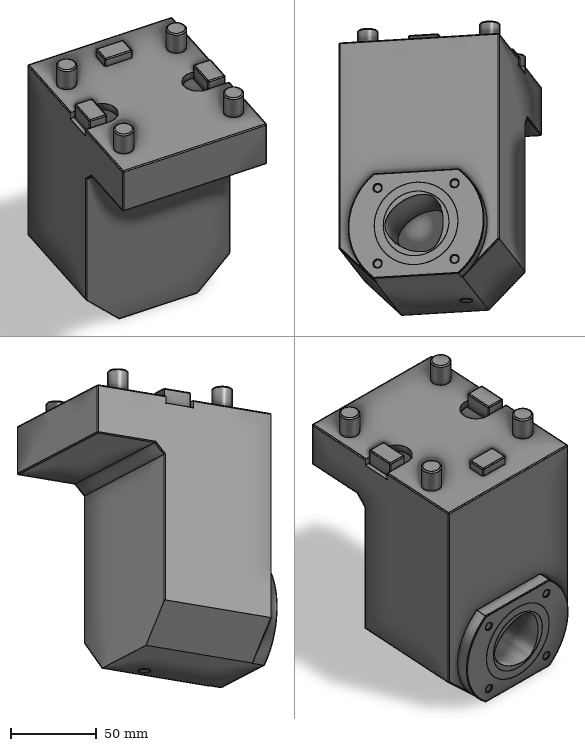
import cadquery as cq
import math

BODY_LENGTH = 117.0
BODY_WIDTH = 96.0
BODY_HEIGHT = 147.0
COLUMN_LENGTH = 72.0
OVERHANG_HEIGHT = 29.5
OVERHANG_BEVEL = 6.3
BOTTOM_BEVEL = 22.0
BODY_CHAMFER = 0.6

FLANGE_DIAMETER = 81.5
FLANGE_HEIGHT = 63.7
SPINDLE_REACH = 8.0
RING_HEIGHT = 0.08
FLANGE_THICKNESS = SPINDLE_REACH - RING_HEIGHT
FLANGE_CHAMFER = 0.5
SPINDLE_Z = FLANGE_HEIGHT / 2
RING_DIAMETER = 50.0
RING_BORE = 39.3

SOCKET_RADIUS = 17.5
SOCKET_LOBE = 1.21
SOCKET_SHRINK = 0.8
SOCKET_DEPTH = 32.3
SOCKET_STEPS = 36

RECESS_PITCH = 46.0
RECESS_DIAMETER = 5.5
RECESS_DEPTH = 0.5
RECESS_TAPER = 45

PIN_DIAMETER = 12.0
PIN_HEIGHT = 14.0
PIN_CHAMFER = 0.8
PIN_PITCH_X = 70.1
PIN_PITCH_Y = 73.0
FIRST_PIN_X = 26.8

KEY_LENGTH = 18.3
KEY_WIDTH = 11.6
KEY_HEIGHT = 5.5
KEY_CHAMFER = 0.6
FRONT_KEY_X = 17.8
SLOT_X = 61.9
SLOT_WIDTH = 18.5
SLOT_LENGTH = 25.4
SLOT_DEPTH = 4.5
SIDE_KEY_INSET = 2.7

PAD_DIAMETER = 7.3
PAD_HEIGHT = 0.5
PAD_X = 48.5
PAD_Y = -17.8


def body():
    overhang_z = BODY_HEIGHT - OVERHANG_HEIGHT
    profile = [
        (0, 0),
        (COLUMN_LENGTH, 0),
        (COLUMN_LENGTH, overhang_z - OVERHANG_BEVEL),
        (COLUMN_LENGTH + OVERHANG_BEVEL, overhang_z),
        (BODY_LENGTH, overhang_z),
        (BODY_LENGTH, BODY_HEIGHT),
        (0, BODY_HEIGHT),
    ]
    block = cq.Workplane("XZ").polyline(profile).close().extrude(BODY_WIDTH / 2, both=True)
    block = block.edges("|X and <Z").chamfer(BOTTOM_BEVEL)
    outer_edges = block.faces(">Y or <Y").edges("not <Z")
    outer_edges = outer_edges.add(block.faces(">Z or <X or >X").edges())
    return outer_edges.chamfer(BODY_CHAMFER)


def disc(diameter, start_x, end_x):
    """Cylinder along the spindle axis."""
    plane = cq.Workplane("YZ", origin=(start_x, 0, SPINDLE_Z))
    return plane.circle(diameter / 2).extrude(end_x - start_x)


def flange():
    plate = disc(FLANGE_DIAMETER, -FLANGE_THICKNESS, BODY_CHAMFER)
    limits = cq.Workplane("XY").box(BODY_LENGTH, BODY_WIDTH, FLANGE_HEIGHT)
    plate = plate.intersect(limits.translate((0, 0, SPINDLE_Z)))
    plate = plate.faces("<X").edges().chamfer(FLANGE_CHAMFER)
    ring = disc(RING_DIAMETER, -SPINDLE_REACH, 0)
    ring = ring.cut(disc(RING_BORE, -SPINDLE_REACH, -FLANGE_THICKNESS))
    return plate.union(ring)


def lobed_point(radius, angle):
    """Point of the curve whose tangent at this angle lies radius + lobe * cos(3 * angle) from the axis."""
    reach = radius + SOCKET_LOBE * math.cos(3 * angle)
    slide = -3 * SOCKET_LOBE * math.sin(3 * angle)
    return (
        reach * math.cos(angle) - slide * math.sin(angle),
        reach * math.sin(angle) + slide * math.cos(angle),
    )


def lobed_wire(radius, x):
    angles = [2 * math.pi * step / SOCKET_STEPS for step in range(SOCKET_STEPS)]
    points = [cq.Vector(x, *lobed_point(radius, angle)) for angle in angles]
    curve = cq.Edge.makeSpline(points, periodic=True)
    return cq.Wire.assembleEdges([curve]).translate(cq.Vector(0, 0, SPINDLE_Z))


def socket():
    mouth = lobed_wire(SOCKET_RADIUS, -FLANGE_THICKNESS)
    floor = lobed_wire(SOCKET_RADIUS - SOCKET_SHRINK, SOCKET_DEPTH - FLANGE_THICKNESS)
    return cq.Workplane(cq.Solid.makeLoft([mouth, floor]))


def screw_recesses():
    plane = cq.Workplane("YZ", origin=(-FLANGE_THICKNESS, 0, SPINDLE_Z))
    plane = plane.rarray(RECESS_PITCH, RECESS_PITCH, 2, 2)
    return plane.circle(RECESS_DIAMETER / 2).extrude(RECESS_DEPTH, taper=RECESS_TAPER)


def pins():
    center_x = FIRST_PIN_X + PIN_PITCH_X / 2
    plane = cq.Workplane("XY", origin=(center_x, 0, BODY_HEIGHT))
    studs = plane.rarray(PIN_PITCH_X, PIN_PITCH_Y, 2, 2).circle(PIN_DIAMETER / 2).extrude(PIN_HEIGHT)
    return studs.faces(">Z").chamfer(PIN_CHAMFER)


def key(size_x, size_y, depth):
    """Key block around the Z axis, reaching depth below the top face."""
    plane = cq.Workplane("XY", origin=(0, 0, BODY_HEIGHT - depth))
    block = plane.rect(size_x, size_y).extrude(depth + KEY_HEIGHT)
    return block.edges("|Z or >Z").chamfer(KEY_CHAMFER)


def slot(side):
    """Slot open at one side of the body, with a round inner end."""
    radius = SLOT_WIDTH / 2
    side_y = side * BODY_WIDTH / 2
    arc_y = side_y - side * (SLOT_LENGTH - radius)
    plane = cq.Workplane("XY", origin=(SLOT_X, 0, BODY_HEIGHT - SLOT_DEPTH))
    outline = plane.moveTo(-radius, side_y).lineTo(-radius, arc_y)
    outline = outline.threePointArc((0, arc_y - side * radius), (radius, arc_y))
    return outline.lineTo(radius, side_y).close().extrude(SLOT_DEPTH)


result = body().union(flange()).cut(socket()).cut(screw_recesses()).union(pins())
result = result.union(key(KEY_WIDTH, KEY_LENGTH, 0).translate((FRONT_KEY_X, 0, 0)))

side_key_y = BODY_WIDTH / 2 - SIDE_KEY_INSET - KEY_WIDTH / 2
for side in (-1, 1):
    side_key = key(KEY_LENGTH, KEY_WIDTH, SLOT_DEPTH)
    result = result.cut(slot(side)).union(side_key.translate((SLOT_X, side * side_key_y, 0)))

pad = cq.Workplane("XY").center(PAD_X, PAD_Y).circle(PAD_DIAMETER / 2).extrude(-PAD_HEIGHT)
result = result.union(pad)